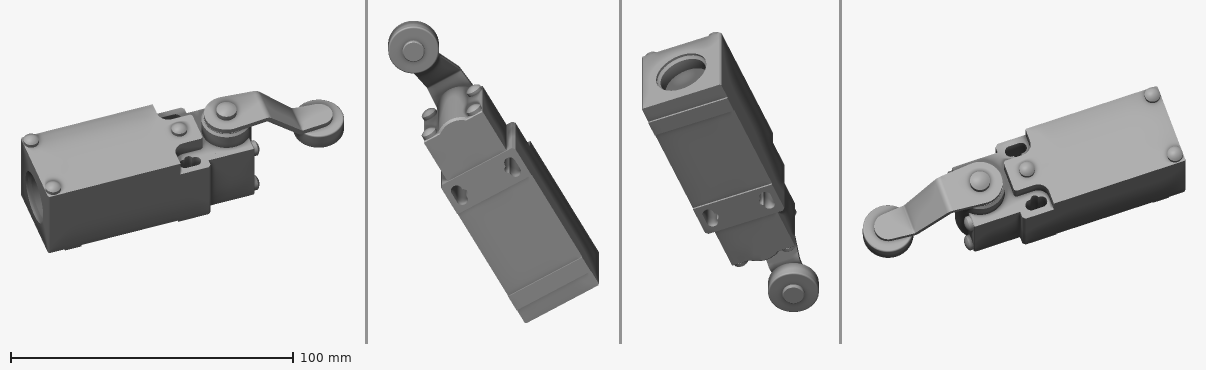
import cadquery as cq
import math

housing_width = 30.3
housing_length = 61.1
housing_top = 30.1
foot_height = 0.7
rear_foot_length = 12.5
front_foot_start = 6.2
front_foot_length = 6.1
front_edge_chamfer = 0.5
rear_edge_chamfer = 0.9

shoulder_height = 24.6
head_width = 24.0
neck_end = 64.6
head_end = 78.4
head_edge_chamfer = 0.3
tongue_depth = 2.4
tongue_width = 12.2
tongue_bottom = 6.6
tongue_top = 18.5

ear_start = 49.5
ear_inner_fillet = 4.2
ear_outer_fillet = 1.0

slot_x = 10.9
slot_y = 54.6
slot_length = 8.0
slot_width = 4.0
slot_bulge_radius = 1.5
slot_bulge_reach = 3.1

entry_z = 14.5
entry_mouth_radius = 9.6
entry_radius = 8.7
entry_mouth_depth = 0.9
entry_depth = 6.5

screw_radius = 2.8
screw_rim = 1.4
screw_dome = 1.2
cover_screw_y = 54.3
front_screw_x = 12.0
front_screw_y = 2.9
head_screw_x = 9.1
head_screw_low_z = 3.6
head_screw_high_z = 21.6

pivot_y = 72.0
turret_radius = 8.9
turret_chamfer = 0.8
collar_height = 0.3
lever_underside = 31.3

lever_thickness = 1.8
lever_drop = 12.8
lever_pivot_radius = 8.0
lever_tip_radius = 5.0
upper_bend_y = 85.7
bend_angle = 45
inner_bend_radius = 1.2
cap_radius = 3.6
cap_rim = 2.0
cap_dome = 1.0
roller_radius = 9.0
roller_height = 6.2
roller_fillet = 0.6
axle_radius = 3.9
axle_height = 1.4
axle_chamfer = 0.3

total_length = 115.5
roller_y = total_length - roller_radius


def block(x_size, y_start, y_end, z_start, z_end):
    """Box centred on X between the given Y and Z limits."""
    box = cq.Workplane("XY").box(x_size, y_end - y_start, z_end - z_start, centered=(True, False, False))
    return box.translate((0, y_start, z_start))


def cylinder(radius, y, z_start, z_end):
    """Upright cylinder on the X = 0 plane."""
    return cq.Workplane("XY", origin=(0, y, z_start)).circle(radius).extrude(z_end - z_start)


def domed_disc(radius, rim, dome):
    """Flat-bottomed disc with a spherical top, standing on the origin."""
    sphere_radius = (radius**2 + dome**2) / (2 * dome)
    half_angle = math.asin(radius / sphere_radius) / 2
    arc_middle = (
        sphere_radius * math.sin(half_angle),
        rim + dome - sphere_radius * (1 - math.cos(half_angle)),
    )
    profile = (
        cq.Workplane("XZ")
        .lineTo(radius, 0)
        .lineTo(radius, rim)
        .threePointArc(arc_middle, (0, rim + dome))
        .close()
    )
    return profile.revolve(360, (0, 0), (0, 1))


def screw_head():
    return domed_disc(screw_radius, screw_rim, screw_dome)


def head_tongue():
    """Cross-shaped tongue that locks the head into the housing neck."""
    upright = block(tongue_width, neck_end - tongue_depth, neck_end, foot_height, shoulder_height)
    crossbar = block(head_width, neck_end - tongue_depth, neck_end, tongue_bottom, tongue_top)
    return upright.union(crossbar)


def ear_cut(side):
    """Corner step that leaves a lower ear on one side of the cover."""
    inner_x = tongue_width / 2
    outer_x = housing_width
    step = (
        cq.Workplane("XY", origin=(0, 0, shoulder_height))
        .moveTo(outer_x, ear_start)
        .lineTo(inner_x + ear_inner_fillet, ear_start)
        .radiusArc((inner_x, ear_start + ear_inner_fillet), ear_inner_fillet)
        .lineTo(inner_x, housing_length - ear_outer_fillet)
        .radiusArc((inner_x - ear_outer_fillet, housing_length), -ear_outer_fillet)
        .lineTo(outer_x, housing_length)
        .close()
        .extrude(housing_top)
    )
    return step if side > 0 else step.mirror("YZ")


def slot_cut(side):
    """Mounting slot with a rounded bulge towards the middle of the housing."""
    slot = cq.Workplane("XY").center(side * slot_x, slot_y).slot2D(slot_length, slot_width, 90)
    bulge_x = side * (slot_x - slot_bulge_reach + slot_bulge_radius)
    bulge = cq.Workplane("XY").center(bulge_x, slot_y).circle(slot_bulge_radius)
    return slot.extrude(housing_top).union(bulge.extrude(housing_top))


def entry_cut():
    """Conduit entry with a wider mouth that tapers at 45 degrees into the bore."""
    taper_end = entry_mouth_depth + entry_mouth_radius - entry_radius
    profile = (
        cq.Workplane("XY")
        .lineTo(entry_mouth_radius, 0)
        .lineTo(entry_mouth_radius, entry_mouth_depth)
        .lineTo(entry_radius, taper_end)
        .lineTo(entry_radius, entry_depth)
        .lineTo(0, entry_depth)
        .close()
    )
    return profile.revolve(360, (0, 0), (0, 1)).translate((0, 0, entry_z))


def make_housing():
    body = block(housing_width, 0, housing_length, foot_height, housing_top)
    rear_foot = block(housing_width, housing_length - rear_foot_length, housing_length, 0, foot_height)
    front_foot = block(
        housing_width, front_foot_start, front_foot_start + front_foot_length, 0, foot_height
    )
    body = body.union(rear_foot).union(front_foot)
    body = body.edges("|Z and >Y").chamfer(rear_edge_chamfer)
    body = body.edges("|Z and <Y").chamfer(front_edge_chamfer)

    neck = block(head_width, housing_length, neck_end, foot_height, shoulder_height)
    body = body.union(neck).cut(head_tongue()).cut(entry_cut())
    for side in (-1, 1):
        body = body.cut(ear_cut(side)).cut(slot_cut(side))

    for x, y in ((-front_screw_x, front_screw_y), (front_screw_x, front_screw_y), (0, cover_screw_y)):
        body = body.union(screw_head().translate((x, y, housing_top)))
    return body


def make_head():
    body = block(head_width, neck_end, head_end, foot_height, shoulder_height)
    body = body.faces(">Y").chamfer(head_edge_chamfer)
    turret = cylinder(turret_radius, pivot_y, foot_height, lever_underside - collar_height)
    turret = turret.faces("<Z or >Z").chamfer(turret_chamfer)
    collar = cylinder(turret_radius - turret_chamfer, pivot_y, shoulder_height, lever_underside)
    body = body.union(head_tongue()).union(turret).union(collar)

    rear_screw = screw_head().rotate((0, 0, 0), (1, 0, 0), -90)
    for x in (-head_screw_x, head_screw_x):
        for z in (head_screw_low_z, head_screw_high_z):
            body = body.union(rear_screw.translate((x, head_end, z)))
    return body


def lever_outline():
    """Straight-sided outline tangent to the pivot end and to the tip end."""
    lean = (lever_pivot_radius - lever_tip_radius) / (roller_y - pivot_y)
    side = math.sqrt(1 - lean**2)
    pivot_x = lever_pivot_radius * side
    pivot_tangent_y = pivot_y + lever_pivot_radius * lean
    tip_x = lever_tip_radius * side
    tip_tangent_y = roller_y + lever_tip_radius * lean
    return (
        cq.Workplane("XY")
        .moveTo(pivot_x, pivot_tangent_y)
        .lineTo(tip_x, tip_tangent_y)
        .threePointArc((0, roller_y + lever_tip_radius), (-tip_x, tip_tangent_y))
        .lineTo(-pivot_x, pivot_tangent_y)
        .threePointArc((0, pivot_y - lever_pivot_radius), (pivot_x, pivot_tangent_y))
        .close()
        .extrude(2 * lever_underside)
    )


def lever_strip():
    """Wide strip bent down, then back level by two equal bends."""
    start_y = pivot_y - 2 * lever_pivot_radius
    end_y = total_length
    top = lever_underside + lever_thickness
    bend_shift = lever_thickness * math.tan(math.radians(bend_angle / 2))
    lower_bend_y = upper_bend_y + lever_drop / math.tan(math.radians(bend_angle))
    profile = [
        (start_y, top),
        (upper_bend_y, top),
        (lower_bend_y, top - lever_drop),
        (end_y, top - lever_drop),
        (end_y, lever_underside - lever_drop),
        (lower_bend_y - bend_shift, lever_underside - lever_drop),
        (upper_bend_y - bend_shift, lever_underside),
        (start_y, lever_underside),
    ]
    strip = cq.Workplane("YZ").polyline(profile).close().extrude(2 * lever_pivot_radius, both=True)

    def bend_edge(y, z):
        return cq.selectors.NearestToPointSelector((0, y, z))

    outer_bend_radius = inner_bend_radius + lever_thickness
    bends = (
        (upper_bend_y, top, outer_bend_radius),
        (upper_bend_y - bend_shift, lever_underside, inner_bend_radius),
        (lower_bend_y, top - lever_drop, inner_bend_radius),
        (lower_bend_y - bend_shift, lever_underside - lever_drop, outer_bend_radius),
    )
    for y, z, radius in bends:
        strip = strip.edges("|X").edges(bend_edge(y, z)).fillet(radius)
    return strip


def make_lever():
    arm = lever_strip().intersect(lever_outline())
    cap = domed_disc(cap_radius, cap_rim, cap_dome)
    cap = cap.translate((0, pivot_y, lever_underside + lever_thickness))

    roller_top = lever_underside - lever_drop
    roller_bottom = roller_top - roller_height
    roller = cylinder(roller_radius, roller_y, roller_bottom, roller_top).edges().fillet(roller_fillet)
    axle = cylinder(axle_radius, roller_y, roller_bottom - axle_height, roller_bottom)
    axle = axle.faces("<Z").chamfer(axle_chamfer)
    return arm.union(cap).union(roller).union(axle)


housing = make_housing()
head = make_head()
lever = make_lever()
result = cq.Compound.makeCompound([housing.val(), head.val(), lever.val()])